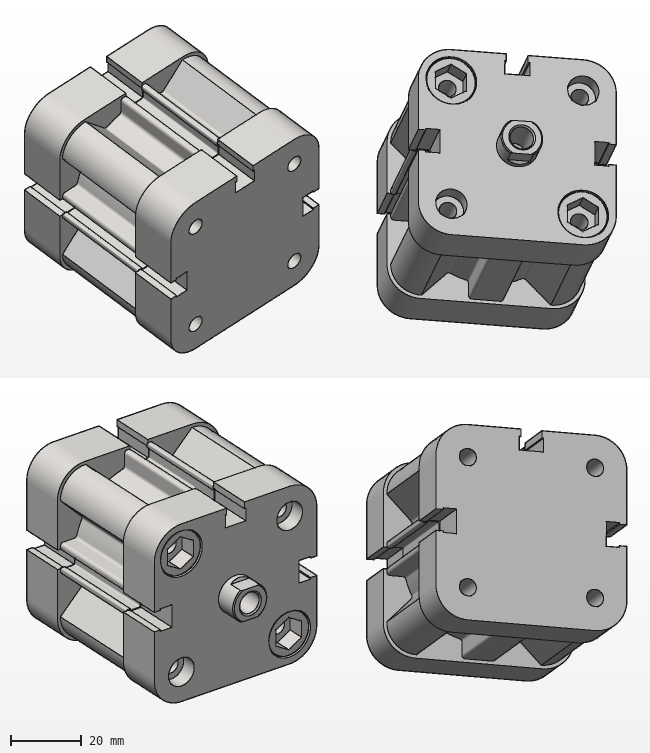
import cadquery as cq
import math


overall_length = 68.0
cap_side = 57.0
cap_length = 14.75
rod_stickout = 7.1
barrel_length = overall_length - rod_stickout - 2 * cap_length
barrel_start = cap_length
rear_cap_start = cap_length + barrel_length
cut_margin = 1.35

bolt_offset = 19.0
cap_half = cap_side / 2
cap_corner_radius = cap_half - bolt_offset
through_hole_diameter = 5.0

plain_seat_diameter = 9.0
plain_seat_depth = 5.0
bolt_head_diameter = 14.0
bolt_recess_diameter = 14.55
bolt_recess_depth = 0.5
head_gap_depth = 1.0
hex_across_flats = 9.0
hex_depth = 5.45

barrel_step = 1.0
barrel_half = cap_half - barrel_step
tube_radius = 22.5
rib_half_width = 5.0
pocket_mouth_end = 18.6
barrel_corner_radius = barrel_half - pocket_mouth_end
profile_fillet = 1.0

slot_mouth_half = 2.85
slot_inner_half = 3.3
slot_lip_level = 26.05
slot_floor_level = 22.6
slot_edge_fillet = 0.5
cap_slot_clearance = 0.3
slot_sides = (0, 90, -90)
all_sides = (0, 90, 180, -90)

rod_diameter = 12.0
rod_chamfer = 0.35
flat_across = 10.05
flat_length = 4.9
flat_runout = 0.55
rod_bore_diameter = 6.7
rod_bore_chamfer = 0.5
rod_bore_depth = 12.25
drill_tip_depth = 2.0
full_turn = 360


def section_plane(x):
    """YZ plane at the given X, whose extrusions run towards +X."""
    return cq.Workplane("YZ", origin=(x, 0, 0))


def rounded_block(x, length, side, corner_radius):
    return section_plane(x).rect(side, side).extrude(length).edges("|X").fillet(corner_radius)


def turned(body, angle):
    """The body turned about the cylinder axis."""
    return body.rotate((0, 0, 0), (1, 0, 0), angle)


def bolt_cylinders(x, length, diameter, places):
    return section_plane(x).pushPoints(places).circle(diameter / 2).extrude(length)


def slot_cutter(x, length, clearance):
    """T-slot in the +Z side, open at the top."""
    mouth = slot_mouth_half + clearance
    inner = slot_inner_half + clearance
    lip = slot_lip_level + clearance
    floor = slot_floor_level - clearance
    top = cap_half + cut_margin
    outline = [
        (mouth, top), (mouth, lip), (inner, lip), (inner, floor),
        (-inner, floor), (-inner, lip), (-mouth, lip), (-mouth, top),
    ]
    return section_plane(x).polyline(outline).close().extrude(length)


head_places = [(bolt_offset, bolt_offset), (-bolt_offset, -bolt_offset)]
seat_places = [(bolt_offset, -bolt_offset), (-bolt_offset, bolt_offset)]
bolt_places = head_places + seat_places


def end_cap(x):
    """Square cap with T-slots on three sides and a through hole in each corner."""
    cap = rounded_block(x, cap_length, cap_side, cap_corner_radius)
    for angle in slot_sides:
        cap = cap.cut(turned(slot_cutter(x, cap_length, cap_slot_clearance), angle))
    return cap.cut(bolt_cylinders(x, cap_length, through_hole_diameter, bolt_places))


def hex_socket(place):
    """Hexagonal prism with one corner pointing up."""
    hex_corner_diameter = hex_across_flats / math.cos(math.pi / 6)
    prism = section_plane(bolt_recess_depth).polygon(6, hex_corner_diameter).extrude(hex_depth)
    return turned(prism, 90).translate((0, *place))


def make_front_cap():
    cap = end_cap(0)
    head_gaps = bolt_cylinders(0, head_gap_depth, bolt_recess_diameter, head_places)
    heads = bolt_cylinders(bolt_recess_depth, head_gap_depth, bolt_head_diameter, head_places)
    cap = cap.cut(head_gaps.cut(heads))
    for place in head_places:
        cap = cap.cut(hex_socket(place))
    cap = cap.cut(bolt_cylinders(0, plain_seat_depth, plain_seat_diameter, seat_places))
    return cap.cut(section_plane(0).circle(rod_diameter / 2).extrude(cap_length))


def barrel_pocket():
    """Pocket on the +Y half of the +Z side, between the slot rib and the sloping corner lobe."""
    slope_foot = barrel_half - (pocket_mouth_end - rib_half_width)
    outline = [
        (rib_half_width, slope_foot),
        (rib_half_width, barrel_half),
        (pocket_mouth_end, barrel_half),
    ]
    pocket = section_plane(barrel_start).polyline(outline).close().extrude(barrel_length)
    tube = section_plane(barrel_start).circle(tube_radius).extrude(barrel_length)
    return pocket.cut(tube).edges("|X").edges("not >Z").fillet(profile_fillet)


def round_profile_edges(barrel, angle, half_width, radius):
    """Rounds the two outer edges of a side that run along X at the given distance from its middle."""
    middle = barrel_start + barrel_length / 2
    upright = turned(barrel, -angle)
    for y in (half_width, -half_width):
        edge = cq.selectors.NearestToPointSelector((middle, y, barrel_half))
        upright = upright.edges(edge).fillet(radius)
    return turned(upright, angle)


def make_barrel():
    barrel = rounded_block(barrel_start, barrel_length, 2 * barrel_half, barrel_corner_radius)
    pocket = barrel_pocket()
    pocket_pair = pocket.union(pocket.mirror("XZ"))
    for angle in all_sides:
        barrel = barrel.cut(turned(pocket_pair, angle))
        barrel = round_profile_edges(barrel, angle, rib_half_width, profile_fillet)
    slot = slot_cutter(barrel_start, barrel_length, 0)
    slot = slot.edges("|X and <Z").fillet(slot_edge_fillet)
    for angle in slot_sides:
        barrel = barrel.cut(turned(slot, angle))
        barrel = round_profile_edges(barrel, angle, slot_mouth_half, slot_edge_fillet)
    return barrel.cut(bolt_cylinders(barrel_start, barrel_length, through_hole_diameter, bolt_places))


def rod_flat_cutter():
    """Removes the top of the rod tip down to the flat, with a steep sloping shoulder at its inner end."""
    tip = -rod_stickout
    shoulder = tip + flat_length
    flat = flat_across / 2
    crown = rod_diameter / 2
    outline = [
        (tip, flat),
        (shoulder, flat),
        (shoulder + flat_runout, crown),
        (tip, crown),
    ]
    return cq.Workplane("XZ").polyline(outline).close().extrude(crown, both=True)


def make_rod():
    tip = -rod_stickout
    rod = section_plane(tip).circle(rod_diameter / 2).extrude(rod_stickout + cap_length)
    rod = rod.faces("<X").chamfer(rod_chamfer)
    for angle in (0, 180):
        rod = rod.cut(turned(rod_flat_cutter(), angle))
    bore_radius = rod_bore_diameter / 2
    bore_end = tip + rod_bore_depth
    outline = [
        (tip, 0),
        (tip, bore_radius + rod_bore_chamfer),
        (tip + rod_bore_chamfer, bore_radius),
        (bore_end, bore_radius),
        (bore_end + drill_tip_depth, 0),
    ]
    bore = cq.Workplane("XY").polyline(outline).close().revolve(full_turn, (0, 0, 0), (1, 0, 0))
    return rod.cut(bore)


front_cap = make_front_cap()
rear_cap = end_cap(rear_cap_start)
barrel = make_barrel()
rod = make_rod()

result = cq.Compound.makeCompound([front_cap.val(), rear_cap.val(), barrel.val(), rod.val()])